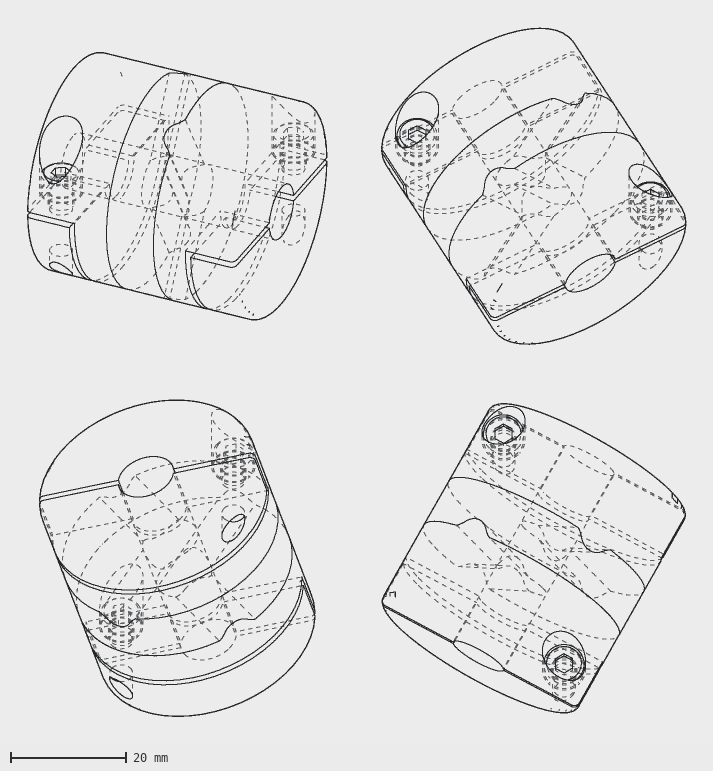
import cadquery as cq
import math

coupling_length = 40.0
coupling_diameter = 39.0
bore_diameter = 10.0
rim_radius = 1.0
ring_width = 9.0

outer_radius = coupling_diameter / 2
end_x = -coupling_length / 2
hub_face_x = -ring_width / 2
hub_length = hub_face_x - end_x

slit_height = 1.1
cap_length = 8.35
gap_width = 1.0

screw_x = end_x + 4.5
screw_y = -14.5
screw_diameter = 4.0
screw_head_diameter = 7.0
screw_head_height = 4.0
screw_head_chamfer = 0.5
screw_length = 12.0
hex_width = 3.0
hex_depth = 1.5
clearance_diameter = 4.5
counterbore_diameter = 7.5
counterbore_floor_z = 3.0

lobe_angles = (60.0, -60.0)
lobe_height = 2.3
lobe_tip_radius = 3.0
lobe_tip_angle = 51.0
lobe_foot_half_width = 3.7


def axial_tube(start_x, length):
    """Full-diameter tube along X with the shaft bore through it."""
    return (
        cq.Workplane("YZ", origin=(start_x, 0, 0))
        .circle(outer_radius)
        .circle(bore_diameter / 2)
        .extrude(length)
    )


def vertical_cylinder(diameter, bottom_z, height):
    """Cylinder on the screw axis."""
    return (
        cq.Workplane("XY", origin=(screw_x, screw_y, bottom_z))
        .circle(diameter / 2)
        .extrude(height)
    )


def tip_point(angle):
    """Point on the lobe's tip arc, at an angle from the lobe's centre line."""
    across = lobe_tip_radius * math.sin(math.radians(angle))
    drop = lobe_tip_radius * (1 - math.cos(math.radians(angle)))
    return across, lobe_height - drop


def lobe(angle):
    """One lobe: a rounded profile on the hub face, extruded outwards from the axis."""
    direction = cq.Vector(0, math.cos(math.radians(angle)), math.sin(math.radians(angle)))
    across = cq.Vector(1, 0, 0).cross(direction)
    plane = cq.Plane(origin=(hub_face_x, 0, 0), xDir=across, normal=direction)
    return (
        cq.Workplane(plane)
        .moveTo(*tip_point(0))
        .threePointArc(tip_point(lobe_tip_angle / 2), tip_point(lobe_tip_angle))
        .tangentArcPoint((lobe_foot_half_width, 0), relative=False)
        .mirrorY()
        .extrude(outer_radius)
    )


def clamp_cut():
    """L-shaped cut: the slit from the end face, then the gap down behind the cap."""
    cut_length = cap_length + gap_width
    half_slit = slit_height / 2
    return (
        cq.Workplane("XZ", origin=(end_x, 0, 0))
        .moveTo(0, half_slit)
        .lineTo(cut_length, half_slit)
        .lineTo(cut_length, -outer_radius)
        .lineTo(cap_length, -outer_radius)
        .lineTo(cap_length, -half_slit)
        .lineTo(0, -half_slit)
        .close()
        .extrude(outer_radius, both=True)
    )


def screw_holes():
    """Counterbore and clearance hole above the slit, threaded hole through the cap below it."""
    counterbore = vertical_cylinder(counterbore_diameter, counterbore_floor_z, outer_radius)
    clearance = vertical_cylinder(clearance_diameter, 0, counterbore_floor_z)
    thread = vertical_cylinder(screw_diameter, -outer_radius, outer_radius)
    return counterbore.union(clearance).union(thread)


def screw():
    """Socket head cap screw with its head on the counterbore floor."""
    shank = vertical_cylinder(screw_diameter, counterbore_floor_z - screw_length, screw_length)
    head = (
        vertical_cylinder(screw_head_diameter, counterbore_floor_z, screw_head_height)
        .faces(">Z")
        .chamfer(screw_head_chamfer)
    )
    socket = (
        cq.Workplane("XY", origin=(screw_x, screw_y, counterbore_floor_z + screw_head_height))
        .polygon(6, hex_width, circumscribed=True)
        .extrude(-hex_depth)
    )
    return shank.union(head).cut(socket)


def hub():
    """Hub on the -X side with lobes; its screw ties the cap to it, so all three are one solid."""
    outer_edge = cq.selectors.RadiusNthSelector(-1)
    body = axial_tube(end_x, hub_length).faces("<X").edges(outer_edge).fillet(rim_radius)
    body = body.cut(clamp_cut()).cut(screw_holes())
    for angle in lobe_angles:
        body = body.union(lobe(angle).intersect(axial_tube(hub_face_x, ring_width)))
    return body.union(screw()).solids()


left_hub = hub()
right_hub = left_hub.rotate((0, 0, 0), (0, 0, 1), 180)
elastic_ring = axial_tube(hub_face_x, ring_width).cut(left_hub).cut(right_hub).solids()

result = cq.Compound.makeCompound([left_hub.val(), right_hub.val(), elastic_ring.val()])